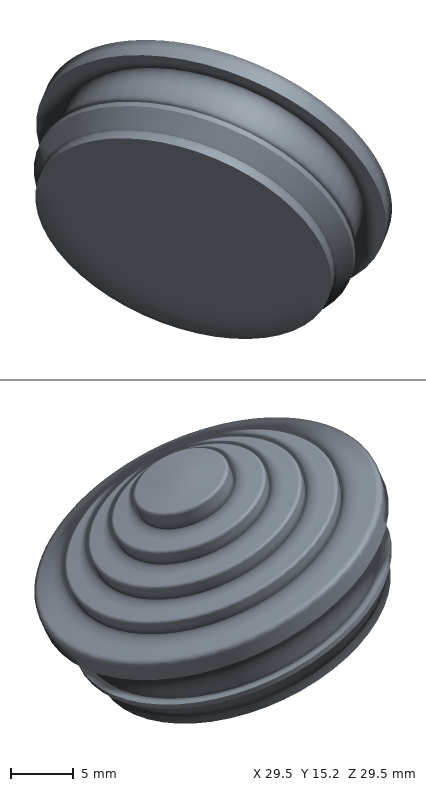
import cadquery as cq
import math

total_length = 15.15

pilot_radius = 12.48
pilot_length = 0.83
lip_radius = 13.48
lip_taper_end = 2.5
lip_back = 2.95
neck_radius = 12.75

flange_radius = 14.75
flange_front = 6.73
flange_fillet = 0.45
undercut_slope = math.tan(math.radians(10))

tier_count = 4
top_tier_radius = 4.05
tier_radius_step = 2.5
tier_fillet = 0.27
cone_slope = math.tan(math.radians(5))
second_rim_y = 13.0
tier_pitch = 1.5

neck_back = flange_front + (flange_radius - neck_radius) * undercut_slope
top_rim_y = total_length - top_tier_radius * cone_slope
flange_rim_y = second_rim_y - (tier_count - 1) * tier_pitch


def turned(outline):
    """Revolve a closed (radius, y) outline about the Y axis."""
    return cq.Workplane("XY").polyline(outline).close().revolve(360, (0, 0, 0), (0, 1, 0))


def round_rim(body, radius, rim_y, fillet):
    """Round the circular edge at the given rim position."""
    rim = cq.selectors.BoxSelector(
        (-2 * radius, rim_y - fillet / 2, -2 * radius),
        (2 * radius, rim_y + fillet / 2, 2 * radius),
    )
    return body.edges("%CIRCLE").edges(rim).fillet(fillet)


def base_body():
    """Insertion end and flange as one turned body."""
    body = turned([
        (0, 0),
        (pilot_radius, 0),
        (pilot_radius, pilot_length),
        (lip_radius, lip_taper_end),
        (lip_radius, lip_back),
        (neck_radius, lip_back),
        (neck_radius, neck_back),
        (flange_radius, flange_front),
        (flange_radius, flange_rim_y),
        (0, flange_rim_y + flange_radius * cone_slope),
    ])
    return round_rim(body, flange_radius, flange_rim_y, flange_fillet)


def cap_tier(radius, rim_y):
    """Disc of the stepped cap, reaching down into the base body."""
    disc = turned([
        (0, neck_back),
        (radius, neck_back),
        (radius, rim_y),
        (0, rim_y + radius * cone_slope),
    ])
    return round_rim(disc, radius, rim_y, tier_fillet)


result = base_body().union(cap_tier(top_tier_radius, top_rim_y))
for tier in range(1, tier_count):
    tier_radius = top_tier_radius + tier * tier_radius_step
    tier_rim_y = second_rim_y - (tier - 1) * tier_pitch
    result = result.union(cap_tier(tier_radius, tier_rim_y))